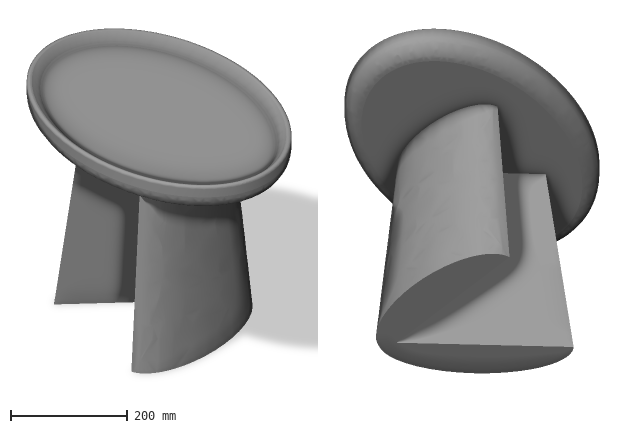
import cadquery as cq
import math

TRAY_LENGTH = 600.0
TRAY_WIDTH = 399.5
TOTAL_HEIGHT = 420.0
TRAY_THICKNESS = 50.5
UNDERSIDE_RADIUS = 29.5
RIM_RADIUS = 5.0

RECESS_DEPTH = 18.5
MOUTH_INSET = 8.0
FLOOR_INSET = 27.0
FLOOR_RADIUS = 11.0

LEG_HALF_CHORD = 168.0
LEG_BULGE = 78.5
LEG_CENTER_X = 60.5
LEG_CENTER_Y = 19.0
LEG_SPLAY = 26.3
LEG_TOP_SCALE = 0.75

leg_height = TOTAL_HEIGHT - TRAY_THICKNESS


def inset_oval(plane, inset):
    """Tray outline moved inward by the given inset."""
    return plane.ellipse(TRAY_LENGTH / 2 - inset, TRAY_WIDTH / 2 - inset)


def make_recess():
    """Cutter with sloping walls and a rounded foot."""
    floor = cq.Workplane("XY").workplane(offset=TOTAL_HEIGHT - RECESS_DEPTH)
    mouth = inset_oval(floor, FLOOR_INSET).workplane(offset=RECESS_DEPTH)
    recess = inset_oval(mouth, MOUTH_INSET).loft(ruled=True)
    return recess.faces("<Z").edges().fillet(FLOOR_RADIUS)


def make_tray():
    """Oval slab with a rounded underside, a dished top and a rounded rim."""
    base = cq.Workplane("XY").workplane(offset=leg_height)
    slab = inset_oval(base, 0).extrude(TRAY_THICKNESS)
    slab = slab.faces("<Z").edges().fillet(UNDERSIDE_RADIUS)
    dished = slab.cut(make_recess())
    return dished.faces(">Z").edges().fillet(RIM_RADIUS)


def leg_outline(scale, height, side):
    """Closed half-oval at a height, scaled about the middle of the leg pair."""
    splay = math.radians(LEG_SPLAY)
    chord_direction = cq.Vector(side * -math.sin(splay), math.cos(splay), 0)
    center = cq.Vector(side * LEG_CENTER_X * scale, LEG_CENTER_Y, height)
    arc = cq.Edge.makeEllipse(
        LEG_HALF_CHORD * scale,
        LEG_BULGE * scale,
        center,
        cq.Vector(0, 0, side),
        chord_direction,
        180,
        360,
    )
    chord = cq.Edge.makeLine(arc.endPoint(), arc.startPoint())
    return cq.Wire.assembleEdges([arc, chord])


def make_leg(side):
    """Tapered leg on one side (-1 or 1), trimmed where it meets its twin at X = 0."""
    foot = leg_outline(1, 0, side)
    head = leg_outline(LEG_TOP_SCALE, leg_height, side)
    leg = cq.Workplane(cq.Solid.makeLoft([foot, head], True))
    own_half = cq.Workplane("XY").box(
        TRAY_LENGTH / 2, TRAY_WIDTH, leg_height, centered=(True, True, False)
    ).translate((side * TRAY_LENGTH / 4, 0, 0))
    return leg.intersect(own_half)


tray = make_tray()
legs = [make_leg(side) for side in (-1, 1)]

result = cq.Compound.makeCompound([tray.val(), *[leg.val() for leg in legs]])